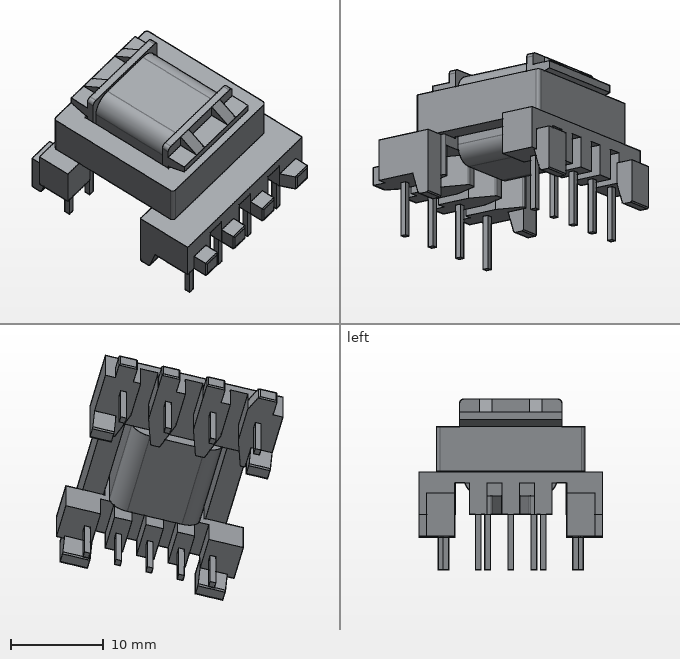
import cadquery as cq


CORE_LENGTH = 16.42
CORE_WIDTH = 16.0
CORE_HEIGHT = 4.8
CORE_BOTTOM = 7.12
CORE_CORNER_RADIUS = 0.38
WINDOW_LENGTH = 11.52
WINDOW_WIDTH = 11.38
CORE_MIDDLE = CORE_BOTTOM + CORE_HEIGHT / 2
CORE_TOP = CORE_BOTTOM + CORE_HEIGHT

WINDING_LENGTH = 9.52
WINDING_SIZE = 10.1
WINDING_CORNER_RADIUS = 2.0
FLANGE_FACE = WINDING_LENGTH / 2

FLANGE_THICKNESS = 0.8
FLANGE_WIDTH = 11.05
FLANGE_TOP = 14.9
FLANGE_CORNER_RADIUS = 0.48
FLANGE_BACK = FLANGE_FACE + FLANGE_THICKNESS
HOOK_REACH = 2.21
HOOK_LEDGE_TOP = 13.5
HOOK_TIP_BOTTOM = 12.69
HOOK_CLEARANCE = 0.02
HOOK_ROOT_BOTTOM = CORE_TOP + HOOK_CLEARANCE
HOOK_TIP = FLANGE_BACK + HOOK_REACH
RIB_WIDTH = 1.38
RIB_OFFSET = 2.7

RAIL_WIDTH = 19.8
RAIL_BOTTOM = 2.48
RAIL_HEIGHT = 4.57
RAIL_TOP = RAIL_BOTTOM + RAIL_HEIGHT
LEFT_RAIL_OUTER = -8.66
RIGHT_RAIL_OUTER = 11.73
WING_STEP = 0.45
WING_FACE = FLANGE_FACE + WING_STEP
WING_INNER_Y = 7.52
RAIL_EDGE_RADIUS = 0.2

SLOT_ROOF = 5.85
SLOT_HEIGHT = SLOT_ROOF - RAIL_BOTTOM
LEFT_SLOT_WIDTH = 1.57
FUNNEL_MOUTH_WIDTH = 4.0
FUNNEL_EXIT_WIDTH = 1.95
FUNNEL_DEPTH = 3.0

PIN_SIZE = 0.65
PIN_BOTTOM = -3.5
LEFT_PIN_X = -6.93
LEFT_PIN_COUNT = 5
LEFT_PIN_PITCH = 3.5
RIGHT_PIN_X = 10.02
RIGHT_PIN_COUNT = 4
RIGHT_PIN_PITCH = 5.0

FOOT_CHAMFER = 0.15
LEFT_FOOT_OUTER = -10.35
LEFT_FOOT_TOP = 4.75
LEFT_FOOT_SOLE = 1.24
LEFT_FOOT_WIDTH = 3.05
LEFT_FOOT_OFFSET = 7.55
RIGHT_FOOT_SOLE = 1.25
FOOT_FLARE = 0.75

PEG_TIP = 13.45
PEG_TOP = 4.5
PEG_WIDTH = 2.02
PEG_CHAMFER = 0.15
PEG_CENTERS = (-7.78, -3.0, 2.0, 7.78)
PEG_ROOT_FLARE = 0.75


def block(x_range, y_range, z_range):
    """Axis-aligned block between pairs of limits."""
    (x0, x1), (y0, y1), (z0, z1) = x_range, y_range, z_range
    return cq.Workplane("XY").box(x1 - x0, y1 - y0, z1 - z0, centered=False).translate((x0, y0, z0))


def side_profile(points, width, center_y):
    """Extrude an X-Z outline along Y, centred on center_y."""
    plane = cq.Workplane("XZ", origin=(0, center_y, 0))
    return plane.polyline(points).close().extrude(width / 2, both=True)


def make_core():
    """Rectangular ring around the winding and flanges."""
    base = cq.Workplane("XY", origin=(0, 0, CORE_BOTTOM))
    ring = base.rect(CORE_LENGTH, CORE_WIDTH).extrude(CORE_HEIGHT)
    ring = ring.edges("|Z").fillet(CORE_CORNER_RADIUS)
    window = base.rect(WINDOW_LENGTH, WINDOW_WIDTH).extrude(CORE_HEIGHT)
    return ring.cut(window)


def make_winding():
    return (
        cq.Workplane("YZ", origin=(0, 0, CORE_MIDDLE))
        .rect(WINDING_SIZE, WINDING_SIZE)
        .extrude(FLANGE_FACE, both=True)
        .edges("|X")
        .fillet(WINDING_CORNER_RADIUS)
    )


def make_hooked_flange():
    """Flange on the +X end of the winding, with its hook and two ribs."""
    half_width = FLANGE_WIDTH / 2
    flange = block((FLANGE_FACE, FLANGE_BACK), (-half_width, half_width), (SLOT_ROOF, FLANGE_TOP))
    flange = flange.edges("|X and >Z").fillet(FLANGE_CORNER_RADIUS)
    hook_outline = [
        (FLANGE_FACE, HOOK_LEDGE_TOP),
        (HOOK_TIP, HOOK_LEDGE_TOP),
        (HOOK_TIP, HOOK_TIP_BOTTOM),
        (FLANGE_BACK, HOOK_ROOT_BOTTOM),
        (FLANGE_FACE, HOOK_ROOT_BOTTOM),
    ]
    rib_outline = [
        (FLANGE_BACK, FLANGE_TOP),
        (HOOK_TIP, HOOK_LEDGE_TOP),
        (FLANGE_BACK, HOOK_LEDGE_TOP),
    ]
    flange = flange.union(side_profile(hook_outline, FLANGE_WIDTH, 0))
    for side in (-1, 1):
        flange = flange.union(side_profile(rib_outline, RIB_WIDTH, side * RIB_OFFSET))
    return flange


def make_left_rail():
    """Rail under the -X side, with one straight wire slot between each pair of pins."""
    rail = block((LEFT_RAIL_OUTER, -FLANGE_FACE), (-RAIL_WIDTH / 2, RAIL_WIDTH / 2), (RAIL_BOTTOM, RAIL_TOP))
    slot_count = LEFT_PIN_COUNT - 1
    slots = (
        cq.Workplane("XY", origin=((LEFT_RAIL_OUTER - FLANGE_FACE) / 2, 0, RAIL_BOTTOM))
        .rarray(0.24, LEFT_PIN_PITCH, 1, slot_count)
        .rect(-FLANGE_FACE - LEFT_RAIL_OUTER, LEFT_SLOT_WIDTH)
        .extrude(SLOT_HEIGHT)
    )
    return rail.cut(slots)


def make_funnel_slot(center_y):
    """Wire slot that narrows from the inner face of the right rail, then runs straight out."""
    half_mouth = FUNNEL_MOUTH_WIDTH / 2
    half_exit = FUNNEL_EXIT_WIDTH / 2
    throat_x = FLANGE_FACE + FUNNEL_DEPTH
    outline = [
        (FLANGE_FACE, -half_mouth),
        (throat_x, -half_exit),
        (RIGHT_RAIL_OUTER, -half_exit),
        (RIGHT_RAIL_OUTER, half_exit),
        (throat_x, half_exit),
        (FLANGE_FACE, half_mouth),
    ]
    plane = cq.Workplane("XY", origin=(0, center_y, RAIL_BOTTOM))
    return plane.polyline(outline).close().extrude(SLOT_HEIGHT)


def make_right_rail():
    """Rail under the +X side: a middle part with funnel slots, and a set-back wing at each end."""
    z_range = (RAIL_BOTTOM, RAIL_TOP)
    rail = block((FLANGE_FACE, RIGHT_RAIL_OUTER), (-WING_INNER_Y, WING_INNER_Y), z_range)
    for slot_index in (-1, 0, 1):
        rail = rail.cut(make_funnel_slot(slot_index * RIGHT_PIN_PITCH))
    rail = rail.faces("<X").edges("|Z").fillet(RAIL_EDGE_RADIUS)
    for side in (-1, 1):
        y_range = sorted((side * WING_INNER_Y, side * RAIL_WIDTH / 2))
        rail = rail.union(block((WING_FACE, RIGHT_RAIL_OUTER), y_range, z_range))
    return rail


def make_left_foot(center_y):
    sole_end = LEFT_FOOT_OUTER + LEFT_FOOT_SOLE
    heel = sole_end + FOOT_FLARE
    outline = [
        (LEFT_FOOT_OUTER, 0),
        (sole_end, 0),
        (heel, RAIL_BOTTOM),
        (heel, LEFT_FOOT_TOP),
        (LEFT_FOOT_OUTER, LEFT_FOOT_TOP),
    ]
    foot = side_profile(outline, LEFT_FOOT_WIDTH, center_y)
    return foot.faces("<Z").edges("|Y").chamfer(FOOT_CHAMFER)


def make_right_foot(side):
    sole_end = WING_FACE + RIGHT_FOOT_SOLE
    outline = [
        (WING_FACE, 0),
        (sole_end, 0),
        (sole_end + FOOT_FLARE, RAIL_BOTTOM),
        (WING_FACE, RAIL_BOTTOM),
    ]
    foot_width = RAIL_WIDTH / 2 - WING_INNER_Y
    foot = side_profile(outline, foot_width, side * (WING_INNER_Y + foot_width / 2))
    return foot.faces("<Z").edges("|Y").chamfer(FOOT_CHAMFER)


def make_peg(center_y, root_flare):
    """Peg on the right rail; root_flare widens its -Y side towards the rail."""
    near_y = center_y - PEG_WIDTH / 2
    far_y = center_y + PEG_WIDTH / 2
    outline = [
        (RIGHT_RAIL_OUTER, near_y - root_flare),
        (PEG_TIP, near_y),
        (PEG_TIP, far_y),
        (RIGHT_RAIL_OUTER, far_y),
    ]
    plane = cq.Workplane("XY", origin=(0, 0, RAIL_BOTTOM))
    peg = plane.polyline(outline).close().extrude(PEG_TOP - RAIL_BOTTOM)
    return peg.faces(">X").edges().chamfer(PEG_CHAMFER)


def make_pin_row(x, count, pitch):
    row = cq.Workplane("XY", origin=(x, 0, PIN_BOTTOM)).rarray(0.24, pitch, 1, count)
    return row.rect(PIN_SIZE, PIN_SIZE).extrude(RAIL_BOTTOM - PIN_BOTTOM)


def make_bobbin():
    """Coil former with its winding, feet, pegs and pins, all one body."""
    flange = make_hooked_flange()
    parts = [flange, flange.mirror("YZ"), make_left_rail(), make_right_rail()]
    for side in (-1, 1):
        parts.append(make_left_foot(side * LEFT_FOOT_OFFSET))
        parts.append(make_right_foot(side))
    for center_y in PEG_CENTERS:
        is_last = center_y == max(PEG_CENTERS)
        parts.append(make_peg(center_y, PEG_ROOT_FLARE if is_last else 0))
    parts.append(make_pin_row(LEFT_PIN_X, LEFT_PIN_COUNT, LEFT_PIN_PITCH))
    parts.append(make_pin_row(RIGHT_PIN_X, RIGHT_PIN_COUNT, RIGHT_PIN_PITCH))
    bobbin = make_winding()
    for part in parts:
        bobbin = bobbin.union(part)
    return bobbin


core = make_core()
bobbin = make_bobbin()
result = cq.Compound.makeCompound([core.val(), bobbin.val()])